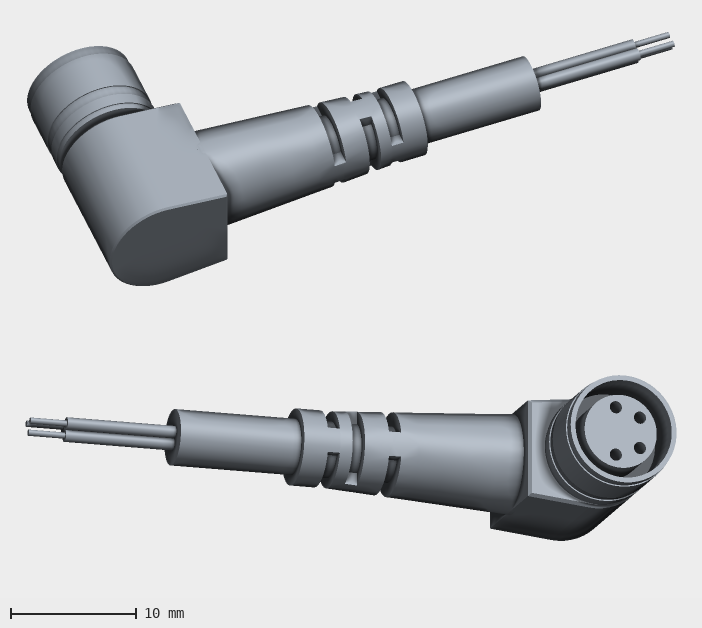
import cadquery as cq
import math


sleeve_diameter = 9.0
ring_diameter = 8.8
sleeve_length = 7.0
ring_spans = [(0.0, 0.95), (4.55, 5.5), (6.5, sleeve_length)]
bore_diameter = 8.0
bore_depth = 4.55
neck_diameter = 5.0

insert_diameter = 6.0
insert_setback = 0.8
contact_hole_diameter = 1.0
contact_hole_depth = 3.0
contact_positions = [(0.4, 1.95), (-1.6, 1.25), (-1.6, -1.25), (0.4, -1.95)]

housing_start = 7.6
housing_end = 18.3
housing_radius = sleeve_diameter / 2
housing_back = 5.55
housing_taper = 6.0
inner_edge_break = 0.25
outer_edge_break = 0.15

joint_overlap = 0.5

boot_end = 23.5
boot_taper_end = 20.5
boot_large_diameter = 8.0
boot_small_diameter = 6.15
slot_width = 1.0
slot_web = 2.0
upright_slot_starts = [15.5, 20.5]
sideways_slot_start = 18.5

cable_x = (housing_start + housing_end) / 2
cable_diameter = 4.5
cable_end = 33.5
wire_diameter = 1.0
wire_end = 42.5
core_diameter = 0.5
overall_length = 50.0
core_end = overall_length - housing_radius
wire_angles = [30, 150, 270]
wire_circle_radius = wire_diameter / math.sqrt(3)


def rod_x(diameter, start, end, y=0.0, z=0.0):
    """Cylinder along X."""
    return cq.Workplane("YZ", origin=(start, y, z)).circle(diameter / 2).extrude(end - start)


def rod_y(diameter, start, end, x=cable_x, z=0.0):
    """Cylinder along Y."""
    return cq.Workplane("XZ", origin=(x, start, z)).circle(diameter / 2).extrude(start - end)


def make_sleeve():
    sleeve = rod_x(sleeve_diameter, 0, sleeve_length)
    for start, end in ring_spans:
        band = rod_x(sleeve_diameter, start, end)
        sleeve = sleeve.cut(band.cut(rod_x(ring_diameter, start, end)))
    sleeve = sleeve.cut(rod_x(bore_diameter, 0, bore_depth))
    sleeve = sleeve.union(rod_x(insert_diameter, insert_setback, sleeve_length))
    for y, z in contact_positions:
        hole_end = insert_setback + contact_hole_depth
        sleeve = sleeve.cut(rod_x(contact_hole_diameter, insert_setback, hole_end, y, z))
    return sleeve.union(rod_x(neck_diameter, bore_depth, housing_start + joint_overlap))


def make_housing():
    """Round front with two flat sides leaving it at a tangent and closing in towards the cable."""
    taper = math.radians(housing_taper)
    tangent_y = housing_radius * math.sin(taper)
    tangent_z = housing_radius * math.cos(taper)
    back_z = tangent_z - (housing_back - tangent_y) * math.tan(taper)
    return (
        cq.Workplane("YZ", origin=(housing_start, 0, 0))
        .moveTo(housing_back, back_z)
        .lineTo(tangent_y, tangent_z)
        .threePointArc((-housing_radius, 0), (tangent_y, -tangent_z))
        .lineTo(housing_back, -back_z)
        .close()
        .extrude(housing_end - housing_start)
        .faces("<X")
        .chamfer(inner_edge_break)
        .faces(">X")
        .chamfer(outer_edge_break)
    )


def make_slot_pair(start, upright):
    """Two opposite slots that leave a central web and stop at the cable surface."""
    size = boot_large_diameter
    block = cq.Workplane("XY").box(size, slot_width, size)
    if upright:
        web = cq.Workplane("XY").box(size, slot_width, slot_web)
    else:
        web = cq.Workplane("XY").box(slot_web, slot_width, size)
    slots = block.cut(web).translate((cable_x, start + slot_width / 2, 0))
    return slots.cut(rod_y(cable_diameter, start, start + slot_width))


def make_boot():
    profile = (
        cq.Workplane("XY", origin=(cable_x, 0, 0))
        .moveTo(0, housing_back - joint_overlap)
        .lineTo(boot_large_diameter / 2, housing_back - joint_overlap)
        .lineTo(boot_large_diameter / 2, housing_back)
        .lineTo(boot_small_diameter / 2, boot_taper_end)
        .lineTo(boot_small_diameter / 2, boot_end)
        .lineTo(0, boot_end)
        .close()
    )
    boot = profile.revolve(360, (0, 0, 0), (0, 1, 0))
    for start in upright_slot_starts:
        boot = boot.cut(make_slot_pair(start, True))
    return boot.cut(make_slot_pair(sideways_slot_start, False))


def make_cable():
    cable = rod_y(cable_diameter, housing_back, cable_end)
    for angle in wire_angles:
        x = cable_x + wire_circle_radius * math.cos(math.radians(angle))
        z = wire_circle_radius * math.sin(math.radians(angle))
        cable = cable.union(rod_y(wire_diameter, cable_end - joint_overlap, wire_end, x, z))
        cable = cable.union(rod_y(core_diameter, wire_end - joint_overlap, core_end, x, z))
    return cable


result = make_sleeve().union(make_housing()).union(make_boot()).union(make_cable())